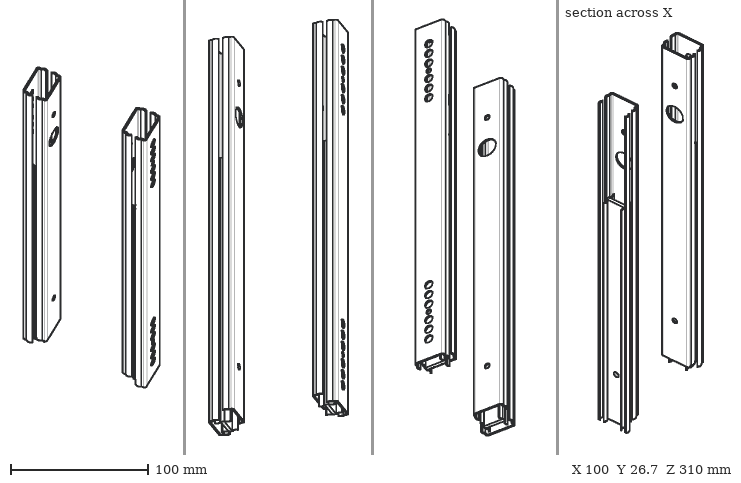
import cadquery as cq
import math


LENGTH = 310.0
OVERALL_WIDTH = 100.0
SLIDE_WIDTH = 19.5
SLIDE_DEPTH = 26.7
INNER_RAIL_START = 7.5
MIDDLE_RAIL_LENGTH = 214.8

SHEET = 1.3
MIDDLE_SHEET = 0.78
CORNER_RADIUS = 2.0
GROOVE_RISE = 1.0
GROOVE_RADIUS = 2.32
GROOVE_OFFSET = 4.0
CHANNEL_LIP_ANGLE = 45.0
MIDDLE_LIP_ANGLE = 40.0
MIDDLE_WEB = 2.8
MIDDLE_HALF_DEPTH = 8.7

MOUNTING_HOLE = 6.5
MOUNTING_OFFSETS = (7.0, 16.0, 25.0)
PILOT_HOLE = 4.0
PATTERN_INSET = 43.0
RIVET_HOLE = 4.3
LOWER_RIVET_Z = 47.0
UPPER_RIVET_Z = 277.8
ACCESS_HOLE = 15.0
ACCESS_HOLE_Z = 250.0

HALF_WIDTH = SLIDE_WIDTH / 2
HALF_DEPTH = SLIDE_DEPTH / 2
SLIDE_CENTRE = (OVERALL_WIDTH - SLIDE_WIDTH) / 2
BACK_RADIUS = GROOVE_RADIUS + SHEET
GROOVE_Y = HALF_DEPTH - BACK_RADIUS
MIDDLE_BACK_RADIUS = GROOVE_RADIUS + MIDDLE_SHEET


def half_chord(radius, distance):
    """Half length of the chord at a distance from the centre of a circle."""
    return math.sqrt(radius**2 - distance**2)


def on_groove(radius, degrees):
    """Point on a circle about the groove axis in the +X, +Y quarter of a slide."""
    angle = math.radians(degrees)
    return (GROOVE_OFFSET + radius * math.cos(angle), GROOVE_Y + radius * math.sin(angle))


def channel():
    """C-shaped rail with its web on the +X side and a ball groove in each flange."""
    flange_top = HALF_DEPTH - GROOVE_RISE
    flange_bottom = flange_top - SHEET
    corner_x = HALF_WIDTH - CORNER_RADIUS
    corner_y = flange_top - CORNER_RADIUS
    bend = math.cos(math.radians(45))
    back_start = GROOVE_OFFSET + half_chord(BACK_RADIUS, flange_top - GROOVE_Y)
    groove_start = GROOVE_OFFSET + half_chord(GROOVE_RADIUS, flange_bottom - GROOVE_Y)
    lip = 180 - CHANNEL_LIP_ANGLE
    inside_radius = CORNER_RADIUS - SHEET
    half = (
        cq.Workplane("XY")
        .moveTo(HALF_WIDTH, 0)
        .lineTo(HALF_WIDTH, corner_y)
        .threePointArc(
            (corner_x + CORNER_RADIUS * bend, corner_y + CORNER_RADIUS * bend),
            (corner_x, flange_top),
        )
        .lineTo(back_start, flange_top)
        .threePointArc(on_groove(BACK_RADIUS, 90), on_groove(BACK_RADIUS, lip))
        .lineTo(*on_groove(GROOVE_RADIUS, lip))
        .threePointArc(on_groove(GROOVE_RADIUS, 90), (groove_start, flange_bottom))
        .lineTo(corner_x, flange_bottom)
        .threePointArc(
            (corner_x + inside_radius * bend, corner_y + inside_radius * bend),
            (HALF_WIDTH - SHEET, corner_y),
        )
        .lineTo(HALF_WIDTH - SHEET, 0)
        .close()
        .extrude(LENGTH)
    )
    return half.union(half.mirror("XZ"))


def drill(rail, diameter, z):
    """Cut a round hole along X through the web, on the centre line."""
    cutter = cq.Workplane("YZ").center(0, z).circle(diameter / 2).extrude(HALF_WIDTH, both=True)
    return rail.cut(cutter)


def outer_rail():
    """Full-length channel facing +X, with a mounting hole pattern near each end."""
    rail = channel().mirror("YZ")
    for centre in (PATTERN_INSET, LENGTH - PATTERN_INSET):
        rail = drill(rail, PILOT_HOLE, centre)
        for offset in MOUNTING_OFFSETS:
            rail = drill(rail, MOUNTING_HOLE, centre - offset)
            rail = drill(rail, MOUNTING_HOLE, centre + offset)
    return rail


def inner_rail():
    """Channel facing -X that starts above the bottom, with rivet and access holes."""
    trim = cq.Workplane("XY").rect(SLIDE_WIDTH, SLIDE_DEPTH).extrude(INNER_RAIL_START)
    rail = channel().cut(trim)
    rail = drill(rail, RIVET_HOLE, LOWER_RIVET_Z)
    rail = drill(rail, RIVET_HOLE, UPPER_RIVET_Z)
    return drill(rail, ACCESS_HOLE, ACCESS_HOLE_Z)


def middle_rail():
    """I-shaped rail whose flanges dip into four ball grooves."""
    half_web = MIDDLE_WEB / 2
    cap_edge = GROOVE_OFFSET - half_chord(GROOVE_RADIUS, GROOVE_Y - MIDDLE_HALF_DEPTH)
    web_top = GROOVE_Y - half_chord(MIDDLE_BACK_RADIUS, GROOVE_OFFSET - half_web)
    quarter = (
        cq.Workplane("XY")
        .lineTo(half_web, 0)
        .lineTo(half_web, web_top)
        .threePointArc(on_groove(MIDDLE_BACK_RADIUS, -90), on_groove(MIDDLE_BACK_RADIUS, -MIDDLE_LIP_ANGLE))
        .lineTo(*on_groove(GROOVE_RADIUS, -MIDDLE_LIP_ANGLE))
        .threePointArc(on_groove(GROOVE_RADIUS, -90), (cap_edge, MIDDLE_HALF_DEPTH))
        .lineTo(0, MIDDLE_HALF_DEPTH)
        .close()
        .extrude(MIDDLE_RAIL_LENGTH)
    )
    half = quarter.union(quarter.mirror("YZ"))
    rail = half.union(half.mirror("XZ"))
    return drill(rail, RIVET_HOLE, LOWER_RIVET_Z)


rails = []
for rail in (outer_rail(), middle_rail(), inner_rail()):
    left_rail = rail.translate((-SLIDE_CENTRE, 0, 0))
    rails.append(left_rail.val())
    rails.append(left_rail.mirror("YZ").val())

result = cq.Compound.makeCompound(rails)